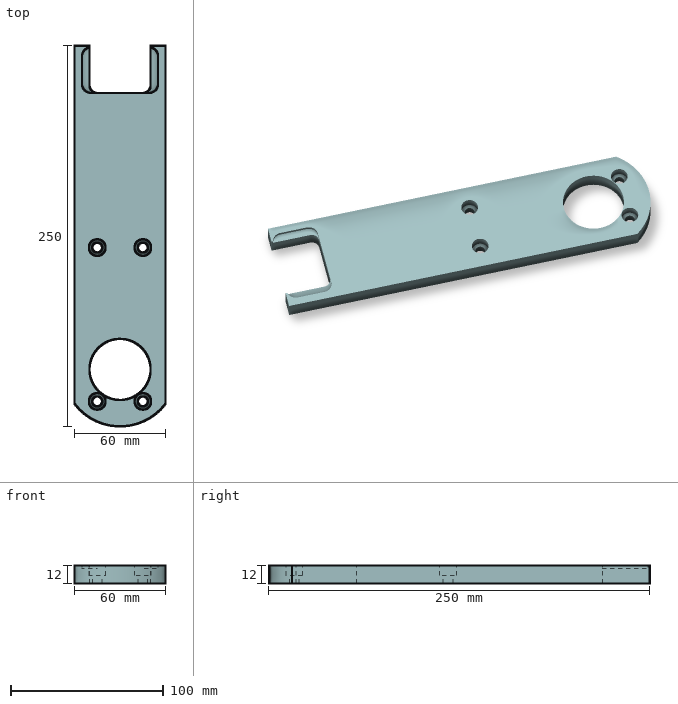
import cadquery as cq
import math

BAR_WIDTH = 60.0
BAR_THICKNESS = 12.0
BAR_LENGTH = 250.0
NOSE_RADIUS = 37.5
BORE_DIAMETER = 40.0

SCREW_HOLE_DIAMETER = 6.4
COUNTERBORE_DIAMETER = 11.0
COUNTERBORE_DEPTH = 6.5
SCREW_SPACING_X = 30.0
SCREW_ROWS_Y = (-21.0, 80.0)

SLOT_WIDTH = 40.0
SLOT_CORNER_RADIUS = 5.0
RECESS_WIDTH = 50.0
RECESS_LENGTH = 30.0
RECESS_DEPTH = 2.0
RECESS_CORNER_RADIUS = 6.0
RECESS_END_MARGIN = 1.0

HALF_WIDTH = BAR_WIDTH / 2
SQUARE_END_Y = BAR_LENGTH - NOSE_RADIUS
SLOT_DEPTH = RECESS_LENGTH + RECESS_END_MARGIN
SLOT_FLOOR_Y = SQUARE_END_Y - SLOT_DEPTH


def make_bar():
    """Flat bar with one square end and one rounded end."""
    shoulder_y = -math.sqrt(NOSE_RADIUS**2 - HALF_WIDTH**2)
    return (
        cq.Workplane("XY")
        .moveTo(-HALF_WIDTH, SQUARE_END_Y)
        .lineTo(-HALF_WIDTH, shoulder_y)
        .threePointArc((0, -NOSE_RADIUS), (HALF_WIDTH, shoulder_y))
        .lineTo(HALF_WIDTH, SQUARE_END_Y)
        .close()
        .extrude(BAR_THICKNESS)
    )


def cut_bore(body):
    """Large through bore at the rounded end."""
    return body.cut(cq.Workplane("XY").circle(BORE_DIAMETER / 2).extrude(BAR_THICKNESS))


def cut_screw_holes(body):
    """Through holes counterbored from the top face."""
    centers = [(side * SCREW_SPACING_X / 2, y) for y in SCREW_ROWS_Y for side in (-1, 1)]
    return (
        body.faces(">Z")
        .workplane(origin=(0, 0, BAR_THICKNESS))
        .pushPoints(centers)
        .cboreHole(SCREW_HOLE_DIAMETER, COUNTERBORE_DIAMETER, COUNTERBORE_DEPTH)
    )


def cut_slot(body):
    """Through slot, open at the square end, with rounded inner corners."""
    slot = (
        cq.Workplane("XY")
        .center(0, SLOT_FLOOR_Y + SLOT_DEPTH / 2)
        .rect(SLOT_WIDTH, SLOT_DEPTH)
        .extrude(BAR_THICKNESS)
        .edges("|Z and <Y")
        .fillet(SLOT_CORNER_RADIUS)
    )
    return body.cut(slot)


def cut_recess(body):
    """Shallow rounded recess in the top face, flush with the slot floor."""
    recess = (
        cq.Workplane("XY", origin=(0, 0, BAR_THICKNESS - RECESS_DEPTH))
        .center(0, SLOT_FLOOR_Y + RECESS_LENGTH / 2)
        .rect(RECESS_WIDTH, RECESS_LENGTH)
        .extrude(RECESS_DEPTH)
        .edges("|Z")
        .fillet(RECESS_CORNER_RADIUS)
    )
    return body.cut(recess)


bar = make_bar()
bar = cut_bore(bar)
bar = cut_screw_holes(bar)
bar = cut_slot(bar)
result = cut_recess(bar)